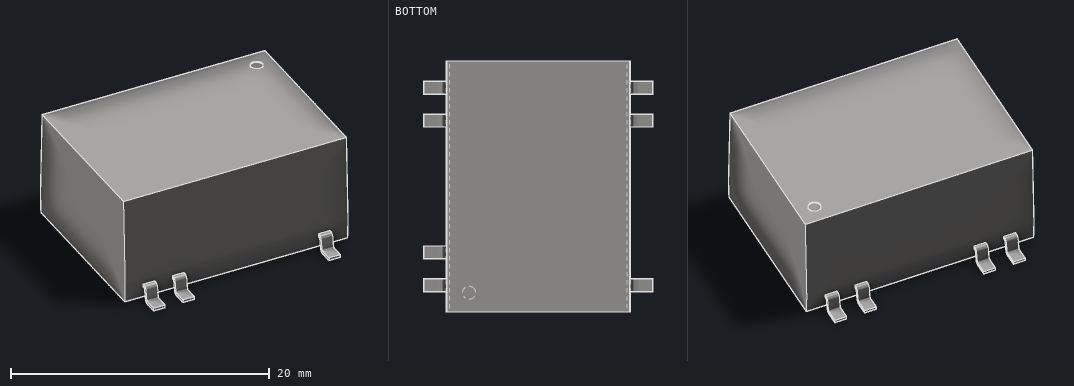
import cadquery as cq
import math

length_y = 19.4
span_x = 17.7
height_z = 9.45

top_width = 13.68
parting_width = 14.22
bottom_width = 14.06
parting_z = 1.9

mark_diameter = 1.0
mark_depth = 0.1
mark_x = -5.34
mark_y = 8.2

lead_width = 1.0
lead_thickness = 0.25
standoff = lead_thickness
lead_top_z = 1.45
shank_x = 7.5
shank_angle = 80.0
bend_radius = 0.23
pin_pitch = 2.55
left_pins = (-3, -2, 2, 3)
right_pins = (-3, -2, 3)


def make_housing():
    """Block with tapered end walls and a shallow round mark in its top face."""
    right_half = [
        (bottom_width / 2, standoff),
        (parting_width / 2, parting_z),
        (top_width / 2, height_z),
    ]
    left_half = [(-x, z) for x, z in reversed(right_half)]
    block = (
        cq.Workplane("XZ")
        .polyline(right_half + left_half)
        .close()
        .extrude(length_y / 2, both=True)
    )
    mark = (
        cq.Workplane("XY", origin=(mark_x, mark_y, height_z - mark_depth))
        .circle(mark_diameter / 2)
        .extrude(mark_depth)
    )
    return block.cut(mark)


def make_left_lead(housing_body):
    """Bent strip on the -X side at y = 0, trimmed flush with the housing wall."""
    foot_z = lead_thickness / 2
    shoulder_z = lead_top_z - lead_thickness / 2
    slope = math.radians(shank_angle)

    half_run = (shoulder_z - foot_z) / 2 / math.tan(slope)
    foot_corner_x = -shank_x - half_run
    shoulder_corner_x = -shank_x + half_run
    setback = bend_radius * math.tan(slope / 2)
    setback_x = setback * math.cos(slope)
    setback_z = setback * math.sin(slope)

    centre_line = (
        cq.Workplane("XZ")
        .moveTo(-span_x / 2, foot_z)
        .lineTo(foot_corner_x - setback, foot_z)
        .tangentArcPoint((foot_corner_x + setback_x, foot_z + setback_z), relative=False)
        .lineTo(shoulder_corner_x - setback_x, shoulder_z - setback_z)
        .tangentArcPoint((shoulder_corner_x + setback, shoulder_z), relative=False)
        .lineTo(-top_width / 2, shoulder_z)
    )
    strip = (
        cq.Workplane("YZ", origin=(-span_x / 2, 0, foot_z))
        .rect(lead_width, lead_thickness)
        .sweep(centre_line)
    )
    return strip.cut(housing_body)


housing = make_housing()
left_lead = make_left_lead(housing)
right_lead = left_lead.mirror("YZ")

leads = []
for lead, pins in ((left_lead, left_pins), (right_lead, right_pins)):
    for pin in pins:
        leads.append(lead.translate((0, pin * pin_pitch, 0)).solids().val())

result = cq.Compound.makeCompound([housing.val(), *leads])